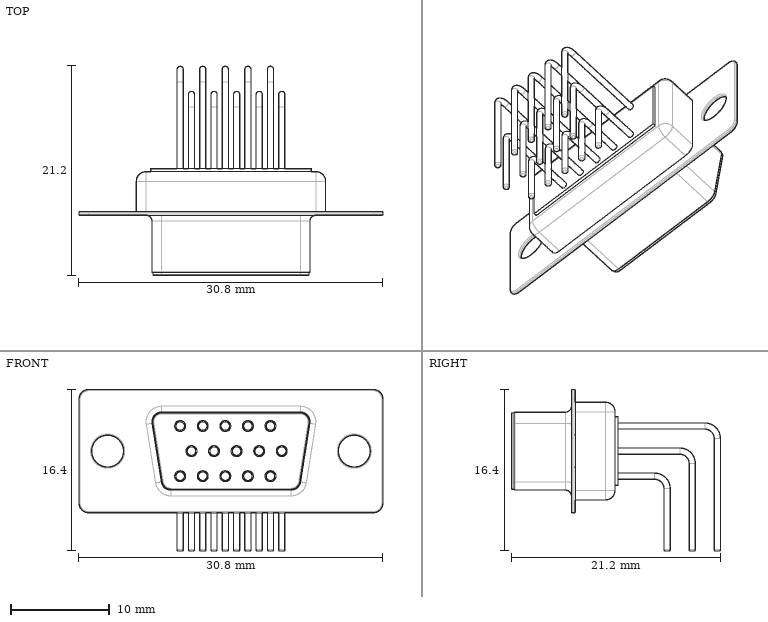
import cadquery as cq
import math


FLANGE_WIDTH = 30.8
FLANGE_HEIGHT = 12.5
FLANGE_THICKNESS = 0.4
FLANGE_CORNER_RADIUS = 1.0
FLANGE_EDGE_RADIUS = 0.12
MOUNT_HOLE_DIAMETER = 3.2
MOUNT_HOLE_SPACING = 24.98

SHELL_WIDTH = 16.02
SHELL_HEIGHT = 7.92
SHELL_SIDE_ANGLE = 9.0
SHELL_CORNER_RADIUS = 1.0
SHELL_LENGTH = 5.8
SHELL_RIM_RADIUS = 0.1
SHELL_ROOT_RADIUS = 0.6
FACE_INSET = 0.1
FACE_PROTRUSION = 0.28
FACE_EDGE_RADIUS = 0.1

HOUSING_WIDTH = 19.2
HOUSING_HEIGHT = 9.92
HOUSING_DEPTH = 4.05
HOUSING_RADIUS = 1.0
BACK_PLATE_WIDTH = 16.25
BACK_PLATE_HEIGHT = 6.95
BACK_PLATE_THICKNESS = 0.3

CONTACTS_PER_ROW = 5
CONTACT_ROW_SPAN = 9.15
OUTER_ROW_SPACING = 5.08
CONTACT_PITCH = CONTACT_ROW_SPAN / (CONTACTS_PER_ROW - 1)
ROW_PITCH = OUTER_ROW_SPACING / 2
SOCKET_DIAMETER = 0.85
SOCKET_DEPTH = 3.0
SOCKET_CHAMFER = 0.12

PIN_DIAMETER = 0.65
PIN_BEND_RADIUS = 1.25
PIN_TIP_ROUNDING = 0.15
PIN_TIP_Z = -10.13
NEAREST_LEG_GAP = 4.95

FACE_Y = -(SHELL_LENGTH + FACE_PROTRUSION)
HOUSING_BACK_Y = FLANGE_THICKNESS + HOUSING_DEPTH
BACK_PLATE_Y = HOUSING_BACK_Y + BACK_PLATE_THICKNESS


def plane_at(y):
    """XZ plane at the given Y; extrusions from it run toward +Y."""
    return cq.Workplane(cq.Plane(origin=(0, y, 0), xDir=(-1, 0, 0), normal=(0, 1, 0)))


def d_prism(inset, front_y, back_y):
    """Prism with the D outline, wide side up, shrunk by inset all round."""
    tilt = math.radians(SHELL_SIDE_ANGLE)
    half_width = SHELL_WIDTH / 2 - inset
    half_height = SHELL_HEIGHT / 2 - inset
    corner_radius = SHELL_CORNER_RADIUS - inset
    tangent_length = corner_radius * math.tan(math.pi / 4 + tilt / 2)
    top_x = half_width - corner_radius + tangent_length
    bottom_x = top_x - 2 * half_height * math.tan(tilt)
    outline = [
        (-top_x, half_height),
        (top_x, half_height),
        (bottom_x, -half_height),
        (-bottom_x, -half_height),
    ]
    prism = plane_at(front_y).polyline(outline).close().extrude(back_y - front_y)
    return prism.edges("|Y").fillet(corner_radius)


def make_flange():
    hole_centers = [(-MOUNT_HOLE_SPACING / 2, 0), (MOUNT_HOLE_SPACING / 2, 0)]
    flange = plane_at(0).rect(FLANGE_WIDTH, FLANGE_HEIGHT).extrude(FLANGE_THICKNESS)
    flange = flange.edges("|Y").fillet(FLANGE_CORNER_RADIUS)
    holes = plane_at(0).pushPoints(hole_centers).circle(MOUNT_HOLE_DIAMETER / 2)
    flange = flange.cut(holes.extrude(FLANGE_THICKNESS))
    return flange.faces("<Y or >Y").edges().fillet(FLANGE_EDGE_RADIUS)


def add_shell(flange):
    """Join the mating shell to the flange front with a rounded root."""
    shell = d_prism(0, -SHELL_LENGTH, FLANGE_THICKNESS / 2)
    shell = shell.faces("<Y").edges().fillet(SHELL_RIM_RADIUS)
    margin = SHELL_ROOT_RADIUS
    around_root = cq.selectors.BoxSelector(
        (-SHELL_WIDTH / 2 - margin, -margin / 2, -SHELL_HEIGHT / 2 - margin),
        (SHELL_WIDTH / 2 + margin, margin / 2, SHELL_HEIGHT / 2 + margin),
    )
    return flange.union(shell).edges(around_root).fillet(SHELL_ROOT_RADIUS)


def make_front_insulator():
    insulator = d_prism(FACE_INSET, FACE_Y, 0)
    return insulator.faces("<Y").edges().fillet(FACE_EDGE_RADIUS)


def make_housing():
    """Rear housing with its insulator plate."""
    housing = plane_at(FLANGE_THICKNESS).rect(HOUSING_WIDTH, HOUSING_HEIGHT).extrude(HOUSING_DEPTH)
    housing = housing.edges("|Y").fillet(HOUSING_RADIUS)
    housing = housing.faces(">Y").edges().fillet(HOUSING_RADIUS)
    back_plate = plane_at(HOUSING_BACK_Y).rect(BACK_PLATE_WIDTH, BACK_PLATE_HEIGHT)
    return housing.union(back_plate.extrude(BACK_PLATE_THICKNESS))


def make_socket(x, z):
    """Cutter for one contact hole with a countersunk mouth."""
    bore = plane_at(FACE_Y).center(-x, z).circle(SOCKET_DIAMETER / 2).extrude(SOCKET_DEPTH)
    mouth_radius = SOCKET_DIAMETER / 2 + SOCKET_CHAMFER
    mouth = cq.Solid.makeCone(
        mouth_radius, SOCKET_DIAMETER / 2, SOCKET_CHAMFER, cq.Vector(x, FACE_Y, z), cq.Vector(0, 1, 0)
    )
    return bore.union(cq.Workplane(mouth))


def make_pin(x, z, leg_y):
    """Round pin running back from the housing, then bent straight down."""
    path = (
        cq.Workplane("YZ", origin=(x, 0, 0))
        .moveTo(HOUSING_BACK_Y, z)
        .lineTo(leg_y - PIN_BEND_RADIUS, z)
        .radiusArc((leg_y, z - PIN_BEND_RADIUS), PIN_BEND_RADIUS)
        .lineTo(leg_y, PIN_TIP_Z)
    )
    pin = plane_at(HOUSING_BACK_Y).center(-x, z).circle(PIN_DIAMETER / 2).sweep(path)
    return pin.faces("<Z").edges().fillet(PIN_TIP_ROUNDING)


result = add_shell(make_flange()).union(make_front_insulator()).union(make_housing())

for row in (-1, 0, 1):
    row_z = row * ROW_PITCH
    row_shift = CONTACT_PITCH / 4 if row == 0 else -CONTACT_PITCH / 4
    row_leg_y = BACK_PLATE_Y + NEAREST_LEG_GAP + (row + 1) * ROW_PITCH
    for column in range(CONTACTS_PER_ROW):
        contact_x = row_shift - CONTACT_ROW_SPAN / 2 + column * CONTACT_PITCH
        result = result.cut(make_socket(contact_x, row_z))
        result = result.union(make_pin(contact_x, row_z, row_leg_y))